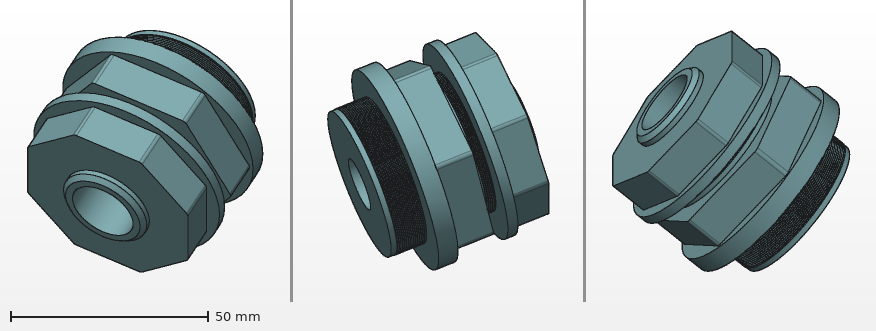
import cadquery as cq
import math


corner_radius = 1.27
across_flats = 45.97
thread_pitch = 0.508
thread_depth = 0.3

nose_diameter = 23.88
nose_length = 2.667
nose_chamfer = 1.27
octagon_length = 10.16
nut_disc_diameter = 53.34
nut_disc_thickness = 2.794
nut_bore_diameter = 17.4

front_thread_diameter = 38.1
exposed_neck_length = 3.81
front_collar_length = 1.33
hex_length = 10.287
flange_diameter = 54.61
flange_thickness = 5.334
rear_length = 9.906
rear_collar_length = 1.5875
rear_collar_diameter = 39.8
rear_thread_diameter = 40.1
body_bore_diameter = 13.97

nose_tip = 0.0
octagon_front = nose_tip + nose_length
octagon_back = octagon_front + octagon_length
nut_back = octagon_back + nut_disc_thickness
hex_front = nut_back + exposed_neck_length
hex_back = hex_front + hex_length
flange_back = hex_back + flange_thickness
body_back = flange_back + rear_length
body_front = octagon_back
front_thread_end = hex_front - front_collar_length
rear_thread_end = body_back - rear_collar_length


def plane_at(y):
    """Plane across the axis at station y, with its normal along -Y and local y along +Z."""
    return cq.Workplane("XZ", origin=(0, y, 0))


def disc(diameter, start, end):
    """Round disc or plug between two stations."""
    return plane_at(start).circle(diameter / 2).extrude(start - end)


def wrench_section(sides, first_corner, start, end):
    """Regular prism with rounded corners; first_corner is the angle of one corner."""
    corner_circle = across_flats / 2 / math.cos(math.pi / sides)
    angles = [first_corner + 2 * math.pi * i / sides for i in range(sides)]
    corners = [(corner_circle * math.cos(a), corner_circle * math.sin(a)) for a in angles]
    prism = plane_at(start).polyline(corners).close().extrude(start - end)
    return prism.edges("|Y").fillet(corner_radius)


def threaded_length(diameter, first_crest, end):
    """Solid of revolution with V-shaped ridges; crests step from first_crest towards end."""
    crest = diameter / 2
    root = crest - thread_depth
    direction = math.copysign(1, end - first_crest)
    half_pitch = thread_pitch / 2
    half_pitches = round(abs(end - first_crest) / half_pitch)
    profile = [(0, first_crest)]
    for i in range(half_pitches):
        radius = root if i % 2 else crest
        profile.append((radius, first_crest + direction * half_pitch * i))
    profile += [(root, end), (0, end)]
    return cq.Workplane("XY").polyline(profile).close().revolve(360, (0, 0, 0), (0, 1, 0))


def make_nut():
    """Octagonal nut with a chamfered nose, a seating disc and a recess for the body."""
    nose = disc(nose_diameter, nose_tip, octagon_front).faces("<Y").chamfer(nose_chamfer)
    octagon = wrench_section(8, math.pi / 8, octagon_front, octagon_back)
    seat = disc(nut_disc_diameter, octagon_back, nut_back)
    bore = disc(nut_bore_diameter, nose_tip, octagon_back)
    recess = disc(front_thread_diameter, body_front, nut_back)
    return nose.union(octagon).union(seat).cut(bore).cut(recess)


def make_body():
    """Hexagonal body with a flange, threaded necks at both ends and a through bore."""
    front_thread = threaded_length(front_thread_diameter, front_thread_end, body_front)
    front_collar = disc(front_thread_diameter, front_thread_end, hex_front)
    hexagon = wrench_section(6, 0, hex_front, hex_back)
    flange = disc(flange_diameter, hex_back, flange_back)
    rear_thread = threaded_length(rear_thread_diameter, rear_thread_end, flange_back)
    rear_collar = disc(rear_collar_diameter, rear_thread_end, body_back)
    body = hexagon
    for section in (front_collar, front_thread, flange, rear_thread, rear_collar):
        body = body.union(section)
    return body.cut(disc(body_bore_diameter, body_front, body_back))


nut = make_nut()
body = make_body()
result = cq.Compound.makeCompound([nut.val(), body.val()])